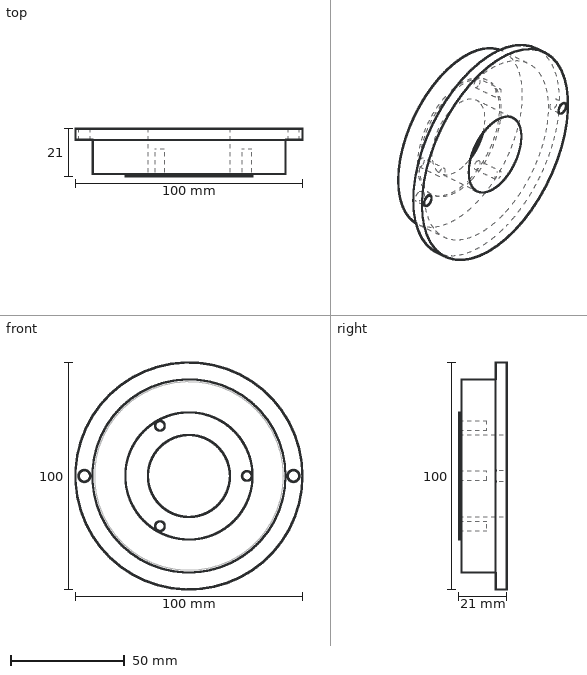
import cadquery as cq

flange_diameter = 100.0
flange_thickness = 5.0
body_diameter = 85.0
body_length = 15.0
boss_diameter = 56.0
boss_height = 1.0
bore_diameter = 36.0
total_length = flange_thickness + body_length + boss_height

sleeve_thickness = 1.0
core_diameter = body_diameter - 2 * sleeve_thickness

flange_drill_diameter = 5.0
flange_thread_diameter = 6.0
flange_hole_circle_radius = 46.0
flange_hole_count = 2

boss_drill_diameter = 4.2
boss_thread_diameter = 5.0
boss_hole_circle_radius = 25.5
boss_hole_depth = 12.0
boss_hole_count = 3

boss_face_y = -total_length
body_face_y = boss_face_y + boss_height
flange_face_y = body_face_y + body_length


def disc(diameter, front_y, length):
    """Solid cylinder on the Y axis that starts at front_y and runs back towards +Y."""
    profile = cq.Workplane("XZ", origin=(0, front_y, 0)).circle(diameter / 2)
    return profile.extrude(-length)


def add_threaded_holes(part, drill_diameter, thread_diameter, circle_radius, count, front_y, depth):
    """Ring of holes, each with its thread as a tube that stays a separate face around the mouth."""
    drill = disc(drill_diameter, front_y, depth)
    thread_zone = disc(thread_diameter, front_y, depth)
    thread_tube = thread_zone.cut(drill)
    for index in range(count):
        angle = index * 360 / count
        place = cq.Location((0, 0, 0), (0, 1, 0), angle) * cq.Location((circle_radius, 0, 0))
        part = part.cut(cq.Workplane(thread_zone.val().moved(place)), clean=False)
        part = part.union(cq.Workplane(thread_tube.val().moved(place)), clean=False)
    return part


flange = disc(flange_diameter, flange_face_y, flange_thickness)
core = disc(core_diameter, body_face_y, body_length)
sleeve = disc(body_diameter, body_face_y, body_length).cut(core)
boss = disc(boss_diameter, boss_face_y, boss_height)
part = flange.union(core.union(boss)).union(sleeve, clean=False)

part = part.cut(disc(bore_diameter, boss_face_y, total_length), clean=False)

part = add_threaded_holes(
    part,
    flange_drill_diameter,
    flange_thread_diameter,
    flange_hole_circle_radius,
    flange_hole_count,
    flange_face_y,
    flange_thickness,
)

part = add_threaded_holes(
    part,
    boss_drill_diameter,
    boss_thread_diameter,
    boss_hole_circle_radius,
    boss_hole_count,
    boss_face_y,
    boss_hole_depth,
)

result = cq.Workplane(part.solids().val())